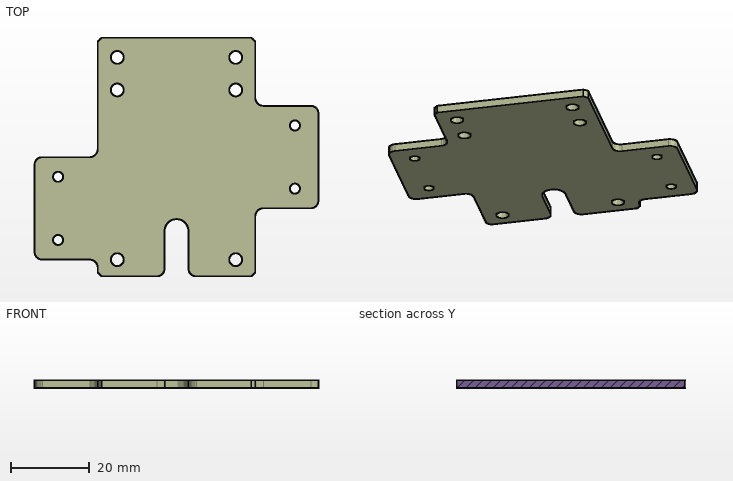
import cadquery as cq

thickness = 2.0
body_width = 40.0
body_length = 60.5

tab_reach = 36.0
tab_height = 26.0
left_tab_center_y = -13.0
right_tab_center_y = 0.0

body_corner_chamfer = 1.0
tab_corner_radius = 2.0
slot_mouth_radius = 2.0

slot_width = 6.0
slot_end_y = -15.75

body_hole_diameter = 3.2
body_hole_x = 15.0
body_hole_rows_y = (-26.0, 17.0, 25.25)
tab_hole_diameter = 2.5
tab_hole_x = 30.0
tab_hole_spacing = 16.0

front_y = -body_length / 2
half_body_width = body_width / 2

pick_margin = 0.1


def side_tab(side, center_y):
    """Tab reaching from the centre line to the left (side -1) or right (side 1)."""
    return (
        cq.Workplane("XY")
        .center(side * tab_reach / 2, center_y)
        .rect(tab_reach, tab_height)
        .extrude(thickness)
    )


def vertical_edges_at(plate, points):
    """Select the vertical edges that stand at the given (x, y) points."""
    selector = None
    for x, y in points:
        box = cq.selectors.BoxSelector(
            (x - pick_margin, y - pick_margin, -pick_margin),
            (x + pick_margin, y + pick_margin, thickness + pick_margin),
        )
        selector = box if selector is None else selector + box
    return plate.edges("|Z").edges(selector)


def cut_slot(plate):
    """Cut the round-ended slot and round both sides of its mouth."""
    half_width = slot_width / 2
    arc_start_y = slot_end_y - half_width
    slot = (
        cq.Workplane("XY")
        .moveTo(-half_width, front_y)
        .lineTo(-half_width, arc_start_y)
        .threePointArc((0, slot_end_y), (half_width, arc_start_y))
        .lineTo(half_width, front_y)
        .close()
        .extrude(thickness)
    )
    mouth = [(-half_width, front_y), (half_width, front_y)]
    return vertical_edges_at(plate.cut(slot), mouth).fillet(slot_mouth_radius)


def drill(plate, points, diameter):
    """Drill through holes at the given (x, y) points."""
    holes = cq.Workplane("XY").pushPoints(points).circle(diameter / 2).extrude(thickness)
    return plate.cut(holes)


tabs = ((-1, left_tab_center_y), (1, right_tab_center_y))
result = cq.Workplane("XY").rect(body_width, body_length).extrude(thickness)
for side, center_y in tabs:
    result = result.union(side_tab(side, center_y))

body_corners = [
    (side * half_body_width, end * body_length / 2)
    for side in (-1, 1)
    for end in (-1, 1)
]
tab_corners = [
    (side * x, center_y + end * tab_height / 2)
    for side, center_y in tabs
    for x in (half_body_width, tab_reach)
    for end in (-1, 1)
]
result = vertical_edges_at(result, body_corners).chamfer(body_corner_chamfer)
result = vertical_edges_at(result, tab_corners).fillet(tab_corner_radius)

result = cut_slot(result)

body_holes = [(side * body_hole_x, y) for side in (-1, 1) for y in body_hole_rows_y]
tab_holes = [
    (side * tab_hole_x, center_y + end * tab_hole_spacing / 2)
    for side, center_y in tabs
    for end in (-1, 1)
]
result = drill(result, body_holes, body_hole_diameter)
result = drill(result, tab_holes, tab_hole_diameter)